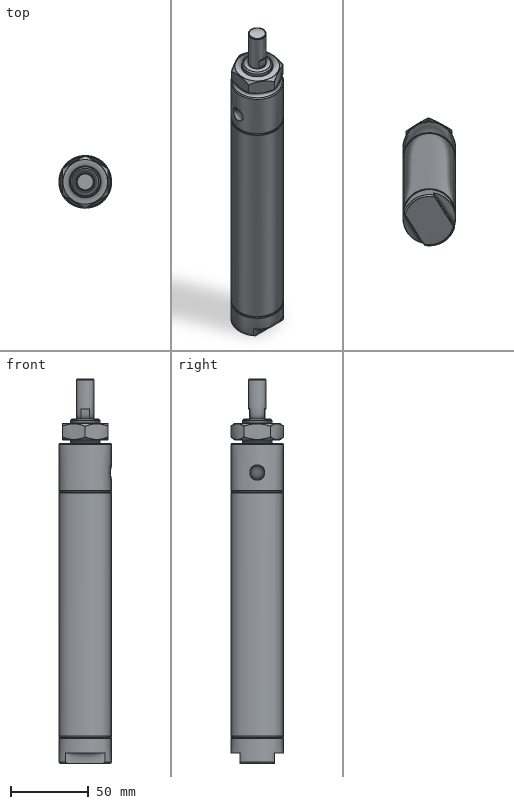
import cadquery as cq
import math

TOTAL_HEIGHT = 247.6
BARREL_DIAMETER = 34.0
BARREL_TOP = 206.3
BARREL_TOP_CHAMFER = 0.7
FOOT_CHAMFER = 1.0
NOSE_DIAMETER = 19.3
NOSE_TOP = 222.0
NOSE_CHAMFER = 1.0

GROOVE_HEIGHTS = (16.8, 175.0)
GROOVE_WIDTH = 1.5
GROOVE_DEPTH = 0.37

FOOT_FLAT_SPACING = 22.3
FOOT_FLAT_HEIGHT = 6.7

PORT_DIAMETER = 9.7
PORT_HEIGHT = 187.5
PORT_DEPTH = 7.5

ROD_DIAMETER = 11.5
ROD_TOP_CHAMFER = 0.5
ROD_SEAT_DEPTH = 16.0
ROD_FLAT_SPACING = 10.0
ROD_FLAT_TOP = 228.5

NUT_ACROSS_FLATS = 29.5
NUT_BOTTOM = 208.5
NUT_HEIGHT = 10.6
NUT_FACE_DIAMETER = 28.7
NUT_CHAMFER_ANGLE = 35.0
NUT_BORE_CHAMFER = 0.5

BARREL_RADIUS = BARREL_DIAMETER / 2
ROD_BOTTOM = NOSE_TOP - ROD_SEAT_DEPTH
NUT_ACROSS_CORNERS = NUT_ACROSS_FLATS / math.cos(math.radians(30))


def cylinder(diameter, bottom, top):
    """Upright cylinder on the Z axis."""
    return cq.Workplane("XY").workplane(offset=bottom).circle(diameter / 2).extrude(top - bottom)


def outside_flats(spacing, bottom, top):
    """Two blocks that leave a pair of flats facing -Y and +Y, the given distance apart."""
    blocks = cq.Workplane("XY").workplane(offset=bottom)
    center_y = spacing / 2 + BARREL_RADIUS
    blocks = blocks.pushPoints([(0, -center_y), (0, center_y)])
    return blocks.rect(2 * BARREL_DIAMETER, BARREL_DIAMETER).extrude(top - bottom)


def groove_ring(center_height):
    """Ring of triangular section removed from the barrel surface to form one V-groove."""
    section = (
        cq.Workplane("XZ")
        .moveTo(BARREL_RADIUS, center_height - GROOVE_WIDTH / 2)
        .lineTo(BARREL_RADIUS, center_height + GROOVE_WIDTH / 2)
        .lineTo(BARREL_RADIUS - GROOVE_DEPTH, center_height)
        .close()
    )
    return section.revolve(360, (0, 0, 0), (0, 1, 0))


def make_housing():
    barrel = cylinder(BARREL_DIAMETER, 0, BARREL_TOP)
    barrel = barrel.faces(">Z").edges().chamfer(BARREL_TOP_CHAMFER)
    barrel = barrel.faces("<Z").edges().chamfer(FOOT_CHAMFER)
    nose = cylinder(NOSE_DIAMETER, BARREL_TOP, NOSE_TOP).faces(">Z").edges().chamfer(NOSE_CHAMFER)
    body = barrel.union(nose)
    for height in GROOVE_HEIGHTS:
        body = body.cut(groove_ring(height))
    body = body.cut(outside_flats(FOOT_FLAT_SPACING, 0, FOOT_FLAT_HEIGHT))
    port = cq.Workplane("YZ", origin=(BARREL_RADIUS - PORT_DEPTH, 0, PORT_HEIGHT))
    body = body.cut(port.circle(PORT_DIAMETER / 2).extrude(PORT_DEPTH))
    return body.cut(cylinder(ROD_DIAMETER, ROD_BOTTOM, NOSE_TOP))


def make_rod():
    rod = cylinder(ROD_DIAMETER, ROD_BOTTOM, TOTAL_HEIGHT).faces(">Z").edges().chamfer(ROD_TOP_CHAMFER)
    return rod.cut(outside_flats(ROD_FLAT_SPACING, NOSE_TOP, ROD_FLAT_TOP))


def make_nut():
    hexagon = cq.Workplane("XY").workplane(offset=NUT_BOTTOM).transformed(rotate=(0, 0, 30))
    nut = hexagon.polygon(6, NUT_ACROSS_CORNERS).extrude(NUT_HEIGHT)
    face_radius = NUT_FACE_DIAMETER / 2
    corner_radius = NUT_ACROSS_CORNERS / 2
    drop = (corner_radius - face_radius) * math.tan(math.radians(NUT_CHAMFER_ANGLE))
    top = NUT_BOTTOM + NUT_HEIGHT
    envelope = (
        cq.Workplane("XZ")
        .moveTo(0, NUT_BOTTOM)
        .lineTo(face_radius, NUT_BOTTOM)
        .lineTo(corner_radius, NUT_BOTTOM + drop)
        .lineTo(corner_radius, top - drop)
        .lineTo(face_radius, top)
        .lineTo(0, top)
        .close()
        .revolve(360, (0, 0, 0), (0, 1, 0))
    )
    nut = nut.intersect(envelope).cut(cylinder(NOSE_DIAMETER, NUT_BOTTOM, top))
    bore_edges = cq.selectors.RadiusNthSelector(0)
    return nut.faces("<Z or >Z").edges("%CIRCLE").edges(bore_edges).chamfer(NUT_BORE_CHAMFER)


housing = make_housing()
rod = make_rod()
nut = make_nut()

result = cq.Compound.makeCompound([housing.val(), rod.val(), nut.val()])